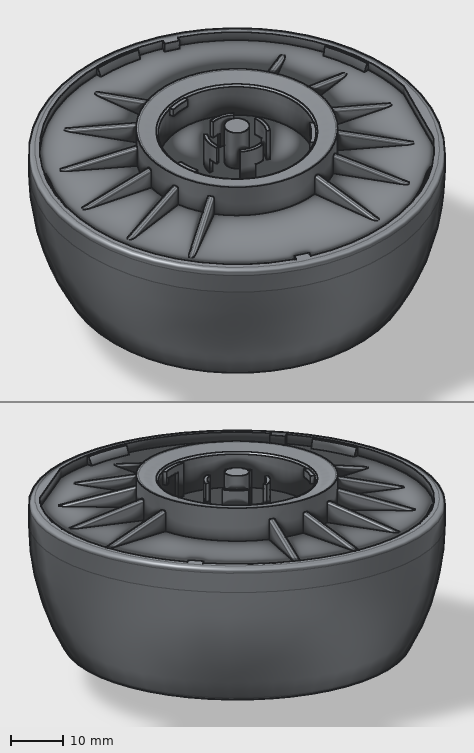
import cadquery as cq
import math


body_radius = 39.9
rim_fillet = 1.1
side_start_z = -5.0
side_end_radius = 33.5
side_end_z = -28.7
bottom_radius = 32.3
bottom_z = -29.5
dome_radius = 26.5
dome_tip_z = -37.3

well_radius = 37.8
well_depth = 1.9
floor_z = -well_depth
flat_distance = 36.8

ledge_count = 5
first_ledge_angle = 55.0
ledge_sweep = 15.0
ledge_top_radius = 37.5
ledge_top_z = -0.2
ledge_foot_radius = 36.7
key_width = 3.0
key_inner_radius = 36.7
key_angles = (1.0, 181.0)

ring_radius = 19.3
ring_top_z = 4.8
ring_lip = 0.4
bore_radius = 15.1
bore_chamfer = 0.4
bore_mouth_z = 4.0
bore_floor_z = -3.1

rib_pitch = 22.5
rib_width = 1.3
rib_fillet = 0.4
rib_root_z = 2.2
rib_tip_radius = 34.2
ribless_half_angle = 20.0

lug_inner_radius = 14.3
lug_top_z = 3.7
lug_plate_z = 2.1
lug_hook_z = 0.95
long_lug_start = 59.0
long_lug_sweep = 25.0
lug_post_sweep = 6.0
lug_hook_sweep = 5.0
short_lug_sweep = 17.0
short_lug_starts = (202.5, 292.5)

pin_radius = 2.4
pin_top_z = 5.35
clip_count = 4
clip_outer_radius = 6.4
clip_inner_radius = 5.7
clip_top_z = 3.75
clip_head_z = 0.0
clip_start = -13.0
clip_head_sweep = 47.0
clip_stem_sweep = 29.0

overlap = 0.2


def sector(profile, start_angle, sweep):
    """Revolve an (r, z) profile about Z from start_angle through sweep degrees."""
    swept = cq.Workplane("XZ").polyline(profile).close().revolve(sweep, (0, 0, 0), (0, 1, 0))
    return swept.rotate((0, 0, 0), (0, 0, 1), start_angle)


def block(inner, outer, low, high, start_angle, sweep):
    """Ring segment of rectangular section."""
    profile = [(inner, low), (outer, low), (outer, high), (inner, high)]
    return sector(profile, start_angle, sweep)


def make_body():
    inset = body_radius - side_end_radius
    drop = side_start_z - side_end_z
    side_arc = (inset**2 + drop**2) / (2 * inset)
    half_turn = math.asin(drop / side_arc) / 2
    side_mid = (
        body_radius - side_arc * (1 - math.cos(half_turn)),
        side_start_z - side_arc * math.sin(half_turn),
    )
    dome_height = bottom_z - dome_tip_z
    dome_arc = (dome_radius**2 + dome_height**2) / (2 * dome_height)
    dome_half_turn = math.asin(dome_radius / dome_arc) / 2
    dome_mid = (
        dome_arc * math.sin(dome_half_turn),
        dome_tip_z + dome_arc * (1 - math.cos(dome_half_turn)),
    )
    outline = (
        cq.Workplane("XZ")
        .moveTo(0, 0)
        .lineTo(body_radius - rim_fillet, 0)
        .tangentArcPoint((body_radius, -rim_fillet), relative=False)
        .lineTo(body_radius, side_start_z)
        .threePointArc(side_mid, (side_end_radius, side_end_z))
        .tangentArcPoint((bottom_radius, bottom_z), relative=False)
        .lineTo(dome_radius, bottom_z)
        .threePointArc(dome_mid, (0, dome_tip_z))
        .close()
    )
    return outline.revolve(360, (0, 0, 0), (0, 1, 0))


def make_well():
    well = cq.Workplane("XY").circle(well_radius).extrude(floor_z)
    beyond_flat = cq.Workplane("XY").rect(2 * body_radius, 2 * body_radius).extrude(floor_z)
    return well.cut(beyond_flat.translate((0, flat_distance + body_radius, 0)))


def make_ledge(angle):
    profile = [
        (well_radius + overlap, floor_z),
        (ledge_foot_radius, floor_z),
        (ledge_top_radius, ledge_top_z),
        (well_radius + overlap, ledge_top_z),
    ]
    return sector(profile, angle - ledge_sweep / 2, ledge_sweep)


def make_key(angle):
    length = well_radius + overlap - key_inner_radius
    key = cq.Workplane("XY").box(length, key_width, well_depth, centered=(False, True, False))
    return key.translate((key_inner_radius, 0, floor_z)).rotate((0, 0, 0), (0, 0, 1), angle)


def make_ring():
    foot = cq.Workplane("XY").workplane(offset=floor_z).circle(ring_radius)
    return foot.extrude(ring_top_z - floor_z)


def make_bore():
    profile = [
        (0, bore_floor_z),
        (bore_radius, bore_floor_z),
        (bore_radius, bore_mouth_z - bore_chamfer),
        (bore_radius + bore_chamfer, bore_mouth_z),
        (ring_radius - ring_lip, ring_top_z),
        (0, ring_top_z),
    ]
    return sector(profile, 0, 360)


def make_rib(angle):
    root = ring_radius - overlap
    profile = [(root, floor_z), (rib_tip_radius, floor_z), (ring_radius, rib_root_z), (root, rib_root_z)]
    rib = cq.Workplane("XZ").polyline(profile).close().extrude(rib_width / 2, both=True)
    slope_middle = ((ring_radius + rib_tip_radius) / 2, 0, (rib_root_z + floor_z) / 2)
    slope = rib.faces(cq.selectors.NearestToPointSelector(slope_middle))
    rib = slope.edges("not |Y").fillet(rib_fillet)
    return rib.rotate((0, 0, 0), (0, 0, 1), angle)


def make_long_lug():
    """Plate with a hook at one end and a post down to the bore floor at the other."""
    outer = bore_radius + bore_chamfer
    hook_start = long_lug_start + long_lug_sweep - lug_hook_sweep
    plate = block(lug_inner_radius, outer, lug_plate_z, lug_top_z, long_lug_start, long_lug_sweep)
    hook = block(lug_inner_radius, outer, lug_hook_z, lug_top_z, hook_start, lug_hook_sweep)
    post = block(lug_inner_radius, outer, bore_floor_z, lug_top_z, long_lug_start, lug_post_sweep)
    return plate.union(hook).union(post)


def make_short_lug(start):
    outer = bore_radius + bore_chamfer
    return block(lug_inner_radius, outer, lug_plate_z, lug_top_z, start, short_lug_sweep)


def make_clip(start):
    """Curved stem whose wider head overhangs counterclockwise."""
    foot = bore_floor_z - overlap
    stem = block(clip_inner_radius, clip_outer_radius, foot, clip_top_z, start, clip_stem_sweep)
    head = block(clip_inner_radius, clip_outer_radius, clip_head_z, clip_top_z, start, clip_head_sweep)
    return stem.union(head)


def make_pin():
    foot = bore_floor_z - overlap
    return cq.Workplane("XY").workplane(offset=foot).circle(pin_radius).extrude(pin_top_z - foot)


result = make_body().cut(make_well())

for i in range(ledge_count):
    result = result.union(make_ledge(first_ledge_angle + i * 360 / ledge_count))

for angle in key_angles:
    result = result.union(make_key(angle))

result = result.union(make_ring())

for i in range(round(360 / rib_pitch)):
    rib_angle = (i + 0.5) * rib_pitch
    if abs(math.sin(math.radians(rib_angle))) > math.sin(math.radians(ribless_half_angle)):
        result = result.union(make_rib(rib_angle))

result = result.cut(make_bore()).union(make_long_lug())

for lug_start in short_lug_starts:
    result = result.union(make_short_lug(lug_start))

for i in range(clip_count):
    result = result.union(make_clip(clip_start + i * 360 / clip_count))

result = result.union(make_pin())